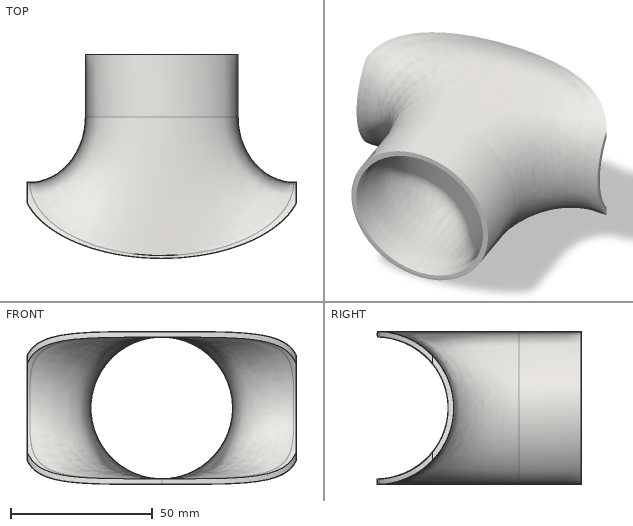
import cadquery as cq
import math


length_x = 95.0
height_y = 72.0
outer_radius = 54.0 / 2
inner_radius = 50.0 / 2
flare_start_y = 50.0
flare_reach_x = 46.55
rim_reach_x = 49.4
rim_width = 1.0

loop_steps = 64
row_steps = 12
fit_tolerance = 0.0001
sewing_tolerance = 0.01


def rim_curve(angle, radius):
    """Rim on the inner or outer saddle cylinder, from the +X tip at angle 0 to the +Z side at a quarter turn.

    Seen along Z, both rims lie on one ellipse that is centred at (0, outer_radius) and touches y = 0.
    """
    y = radius * math.cos(angle) ** 2
    z = radius * math.sin(angle) * math.sqrt(1 + math.cos(angle) ** 2)
    radius_ratio = radius / outer_radius
    x = rim_reach_x * math.cos(angle) * math.sqrt(radius_ratio * (2 - y / outer_radius))
    return cq.Vector(x, y, z)


def flare_foot(angle, radius):
    """Curve on the saddle cylinder where the flare ends, at the same angles as the rim.

    Seen along Z it is half an ellipse centred at (0, radius).
    """
    depth = radius - rim_width
    rise = math.sin(angle) ** 2
    x = flare_reach_x * math.cos(angle) * math.sqrt(1 + rise)
    y = radius - depth * rise
    z = math.sin(angle) * math.sqrt(depth * (2 * radius - depth * rise))
    return cq.Vector(x, y, z)


def branch_circle(angle, radius):
    """Point on the circle where the branch tube meets the flare."""
    return cq.Vector(radius * math.cos(angle), flare_start_y, radius * math.sin(angle))


def flare_point(angle, v, radius):
    """Quarter ellipse from the branch (v = 0) to the saddle (v = 1), tangent to both."""
    start = branch_circle(angle, radius)
    end = flare_foot(angle, radius)
    turn = math.pi / 2 * v
    across = 1 - math.cos(turn)
    down = math.sin(turn)
    return cq.Vector(
        start.x + (end.x - start.x) * across,
        start.y + (end.y - start.y) * down,
        start.z + (end.z - start.z) * v,
    )


def saddle_point(angle, v, radius):
    """Point on the saddle cylinder between the flare (v = 0) and the rim (v = 1)."""
    start = flare_foot(angle, radius)
    end = rim_curve(angle, radius)
    start_angle = math.atan2(start.z, start.y)
    wrap_angle = start_angle + (math.atan2(end.z, end.y) - start_angle) * v
    x = start.x + (end.x - start.x) * v
    return cq.Vector(x, radius * math.cos(wrap_angle), radius * math.sin(wrap_angle))


def smooth_face(surface):
    """Spline face through surface(angle, v), once around the branch from -Z and v from 0 to 1."""
    angles = [2 * math.pi * i / loop_steps - math.pi / 2 for i in range(loop_steps + 1)]
    fractions = [j / row_steps for j in range(row_steps + 1)]
    grid = [[surface(angle, v) for v in fractions] for angle in angles]
    return cq.Face.makeSplineApprox(grid, tol=fit_tolerance, minDeg=3, maxDeg=3)


def end_face(edge_curve):
    """Face across the wall, joining the inner and outer copies of a curve."""
    return smooth_face(
        lambda angle, v: edge_curve(angle, inner_radius) * (1 - v) + edge_curve(angle, outer_radius) * v
    )


def flared_saddle():
    """Flare and saddle strip as one wall, closed at the branch and along the rim."""
    faces = [end_face(branch_circle), end_face(rim_curve)]
    for radius in (inner_radius, outer_radius):
        faces.append(smooth_face(lambda angle, v: flare_point(angle, v, radius)))
        faces.append(smooth_face(lambda angle, v: saddle_point(angle, v, radius)))
    return cq.occ_impl.shapes.solid(*faces, tol=sewing_tolerance)


def branch_tube():
    """Straight tube from the free end down to the flare."""
    length = height_y - flare_start_y
    plane = cq.Workplane("XZ", origin=(0, height_y, 0))
    return plane.circle(outer_radius).circle(inner_radius).extrude(length)


def square_ends():
    """Block that trims the pointed tips of the rim to the overall length."""
    return cq.Workplane("XY").box(length_x, 2 * height_y, 4 * outer_radius)


saddle = cq.Workplane(flared_saddle()).intersect(square_ends())
result = cq.Workplane(branch_tube().union(saddle).solids().val())